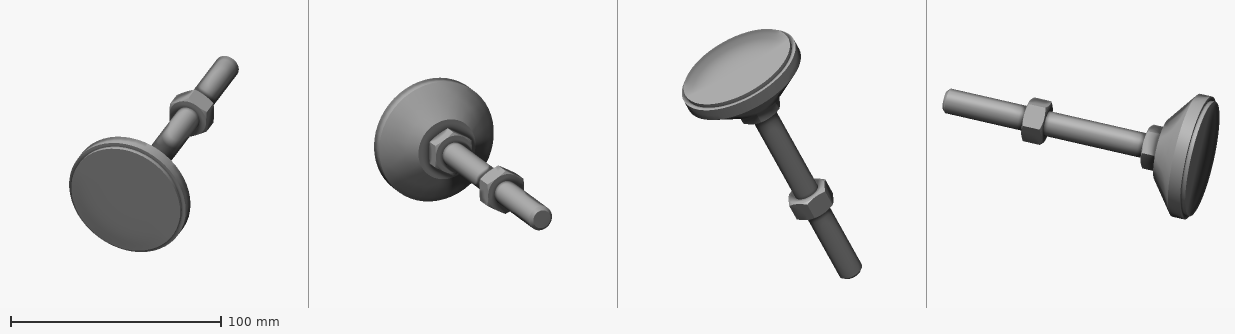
import cadquery as cq
import math

total_length = 128.0
base_diameter = 60.0
pad_diameter = 56.0
pad_height = 2.0
rim_height = 6.0
base_height = 20.0
base_top_diameter = 30.0

rod_diameter = 12.0
rod_chamfer = 1.5

nut_across_flats = 19.0
foot_nut_height = 8.0
lock_nut_height = 10.0
lock_nut_start = 77.3
nut_chamfer_angle = 30.0


def revolve_about_y(profile):
    """Turn a closed (radius, Y) profile about the Y axis."""
    return cq.Workplane("XY").polyline(profile).close().revolve(360, (0, 0, 0), (0, 1, 0))


def make_base():
    pad_radius = pad_diameter / 2
    base_radius = base_diameter / 2
    return revolve_about_y([
        (0, 0),
        (pad_radius, 0),
        (pad_radius, pad_height),
        (base_radius, pad_height),
        (base_radius, pad_height + rim_height),
        (base_top_diameter / 2, base_height),
        (0, base_height),
    ])


def make_rod():
    radius = rod_diameter / 2
    return revolve_about_y([
        (0, base_height),
        (radius, base_height),
        (radius, total_length - rod_chamfer),
        (radius - rod_chamfer, total_length),
        (0, total_length),
    ])


def make_nut(start, height):
    """Hexagon with corners on +Z and -Z, its corners bevelled at both ends."""
    flat_radius = nut_across_flats / 2
    corner_radius = flat_radius / math.cos(math.radians(30))
    bevel = (corner_radius - flat_radius) * math.tan(math.radians(nut_chamfer_angle))
    end = start + height

    hexagon = (
        cq.Workplane("XZ", origin=(0, start, 0))
        .transformed(rotate=(0, 0, 90))
        .polygon(6, 2 * corner_radius)
        .extrude(-height)
    )
    envelope = revolve_about_y([
        (0, start),
        (flat_radius, start),
        (corner_radius, start + bevel),
        (corner_radius, end - bevel),
        (flat_radius, end),
        (0, end),
    ])
    return hexagon.intersect(envelope)


foot_nut = make_nut(base_height, foot_nut_height)
lock_nut = make_nut(lock_nut_start, lock_nut_height)
result = make_base().union(make_rod()).union(foot_nut).union(lock_nut)